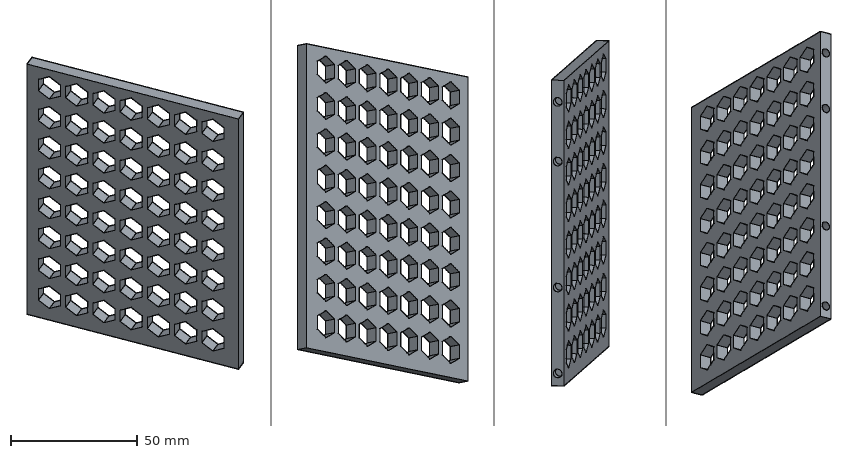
import cadquery as cq
import math

width = 91.5
thickness = 5.0
height = 123.0

columns = 7
rows = 8
hex_across_flats = 9.5
hex_across_points = hex_across_flats / math.cos(math.pi / 6)
first_column_x = 9.7
last_column_x = 80.5
column_pitch = (last_column_x - first_column_x) / (columns - 1)
first_row_z = 11.2
last_row_z = 114.1
row_pitch = (last_row_z - first_row_z) / (rows - 1)

pin_diameter = 3.5
pin_depth = 4.0
pin_heights = [5.0, 39.6, 90.3, 114.3]


def make_plate():
    return cq.Workplane("XY").box(width, thickness, height, centered=False)


def make_hex_windows():
    corner_radius = hex_across_points / 2
    corner_angles = [math.pi / 6 + corner * math.pi / 3 for corner in range(6)]
    corners = [(corner_radius * math.cos(a), corner_radius * math.sin(a)) for a in corner_angles]
    hexagon = cq.Workplane("XZ").polyline(corners).close().extrude(-thickness)

    windows = cq.Workplane("XZ")
    for column in range(columns):
        for row in range(rows):
            x = first_column_x + column * column_pitch
            z = first_row_z + row * row_pitch
            windows = windows.add(hexagon.translate((x, 0, z)))
    return windows.combine(glue=True)


def make_pin_holes():
    centers = [(thickness / 2, z) for z in pin_heights]
    return (
        cq.Workplane("YZ")
        .pushPoints(centers)
        .circle(pin_diameter / 2)
        .extrude(pin_depth)
    )


result = make_plate().cut(make_hex_windows()).cut(make_pin_holes())